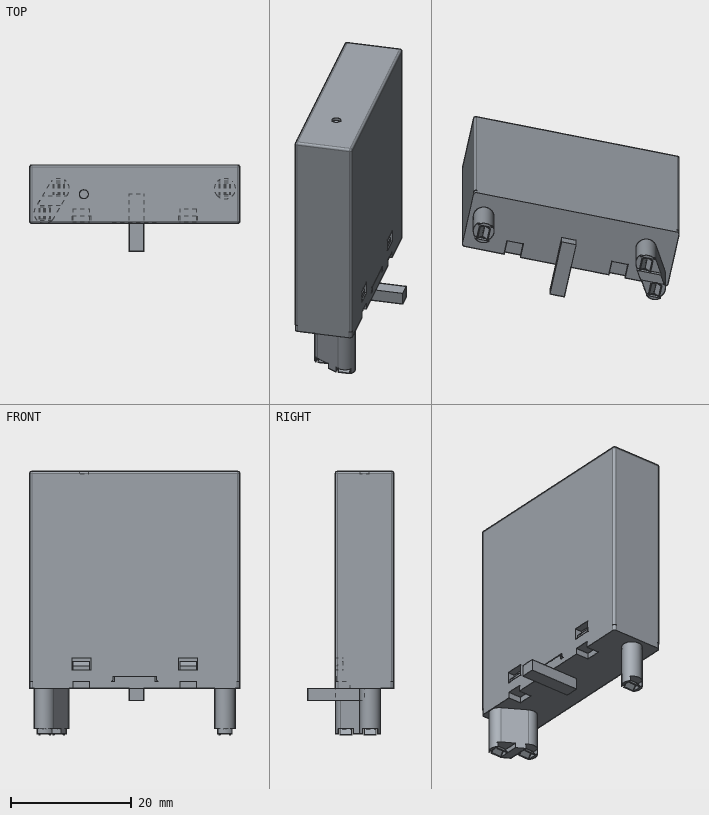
import cadquery as cq
import math

width = 35.0
depth = 9.8
height = 36.15
overall_height = 43.9
edge_radius = 0.4
foot_corner_radius = 0.5
foot_height = 1.1
front_y = -depth / 2

indicator_diameter = 1.5
indicator_depth = 0.5
indicator_x = -8.47

snap_spacing = 17.82
window_width = 3.2
window_bottom = 3.05
window_height = 2.0
window_depth = 1.27
window_spacing = 17.75
hook_width = 2.75
hook_face_recess = 0.25
hook_edge_z = 3.75
hook_top_z = 4.48
notch_depth = 2.45

tongue_top = 1.95
tongue_half_width = 3.4
groove_side_width = 0.2
groove_top_width = 0.05
groove_foot = 0.3
groove_depth = 0.2

lever_width = 2.45
lever_height = 2.05
lever_reach = 4.6
lever_x = 0.3

leg_diameter = 3.45
leg_length = 7.6
slot_width = 2.5
slot_height = 0.88
contact_width = 1.98
contact_half_spread = 0.95
contact_thickness = 0.18
contact_root = 0.2
contact_length = overall_height - height
leg_x = 15.0
front_leg = (-leg_x, -3.1)
inner_leg = (-12.65, 0.9)
right_leg = (leg_x, inner_leg[1])


def box(x_size, y_size, z_size, x, y, z):
    """Box centred on x, starting at y and z and growing toward +Y and +Z."""
    return cq.Workplane("XY").box(x_size, y_size, z_size, centered=(True, False, False)).translate((x, y, z))


def make_housing():
    upper = box(width, depth, height - foot_height, 0, front_y, foot_height)
    upper = upper.edges("|Z").fillet(edge_radius).faces(">Z").edges().fillet(edge_radius)
    foot = box(width, depth, foot_height, 0, front_y, 0).edges("|Z").fillet(foot_corner_radius)
    hole = (
        cq.Workplane("XY", origin=(indicator_x, 0, height - indicator_depth))
        .circle(indicator_diameter / 2)
        .extrude(indicator_depth)
    )
    return upper.union(foot).cut(hole)


def make_hook(x):
    """Hook on the window's back wall: flat nose below, ramp rising to the wall above."""
    nose_y = front_y + hook_face_recess
    wall_y = front_y + window_depth
    return (
        cq.Workplane("YZ", origin=(x - hook_width / 2, 0, 0))
        .moveTo(nose_y, window_bottom)
        .lineTo(nose_y, hook_edge_z)
        .lineTo(wall_y, hook_top_z)
        .lineTo(wall_y, window_bottom)
        .close()
        .extrude(hook_width)
    )


def add_snap(body, side):
    x = side * snap_spacing / 2
    window_x = side * window_spacing / 2
    window = box(window_width, window_depth, window_height, window_x, front_y, window_bottom)
    notch = box(hook_width, notch_depth, foot_height, x, front_y, 0)
    return body.cut(window).cut(notch).union(make_hook(x))


def make_tongue_groove():
    outer_x = tongue_half_width + groove_side_width
    foot_x = outer_x + groove_foot
    top_z = tongue_top + groove_top_width
    right_side = [
        (tongue_half_width, tongue_top),
        (tongue_half_width, foot_height),
        (foot_x, foot_height),
        (outer_x, foot_height + groove_foot),
        (outer_x, top_z),
    ]
    left_side = [(-x, z) for x, z in reversed(right_side)]
    return (
        cq.Workplane("XZ", origin=(0, front_y, 0))
        .polyline(right_side + left_side)
        .close()
        .extrude(-groove_depth)
    )


def make_lever():
    return box(lever_width, lever_reach - front_y, lever_height, lever_x, front_y - lever_reach, -lever_height)


def make_leg(centre):
    return cq.Workplane("XY", origin=(*centre, 0)).circle(leg_diameter / 2).extrude(-leg_length)


def make_web():
    """Slab joining the two left legs along their common tangents."""
    run_x = inner_leg[0] - front_leg[0]
    run_y = inner_leg[1] - front_leg[1]
    middle = ((front_leg[0] + inner_leg[0]) / 2, (front_leg[1] + inner_leg[1]) / 2, 0)
    return (
        cq.Workplane("XY", origin=middle)
        .transformed(rotate=(0, 0, math.degrees(math.atan2(run_y, run_x))))
        .rect(math.hypot(run_x, run_y), leg_diameter)
        .extrude(-leg_length)
    )


def make_slot(centre):
    x, y = centre
    return box(2 * leg_diameter, slot_width, slot_height, x, y - slot_width / 2, -leg_length)


def make_contact(centre):
    """Inverted-V strip whose ridge is rooted in the slot ceiling."""
    x, y = centre
    ridge_z = contact_root - leg_length + slot_height
    inner_spread = contact_half_spread - contact_thickness
    inner_ridge_z = ridge_z - 2 * contact_thickness
    return (
        cq.Workplane("XZ", origin=(x, y + contact_width / 2, 0))
        .polyline([
            (-contact_half_spread, -contact_length),
            (0, ridge_z),
            (contact_half_spread, -contact_length),
            (inner_spread, -contact_length),
            (0, inner_ridge_z),
            (-inner_spread, -contact_length),
        ])
        .close()
        .extrude(contact_width)
    )


legs = (front_leg, inner_leg, right_leg)
leg_group = make_web()
for leg in legs:
    leg_group = leg_group.union(make_leg(leg))
for leg in legs:
    leg_group = leg_group.cut(make_slot(leg))
for leg in legs:
    leg_group = leg_group.union(make_contact(leg))

result = make_housing()
for side in (-1, 1):
    result = add_snap(result, side)
result = result.cut(make_tongue_groove()).union(make_lever()).union(leg_group)